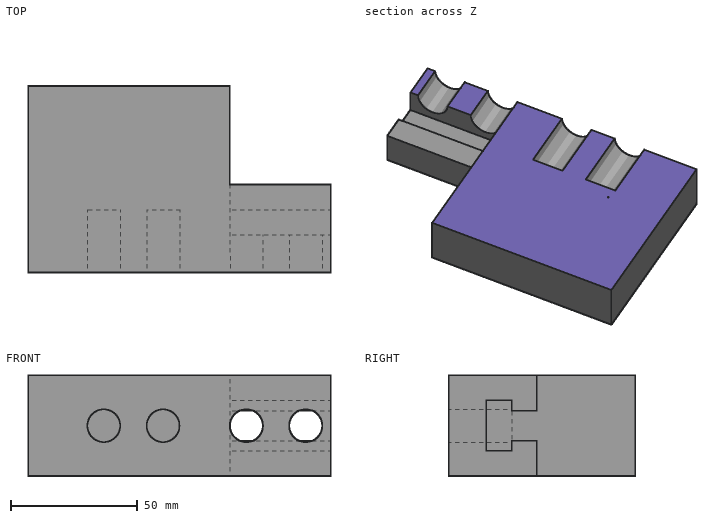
import cadquery as cq

length = 120.0
depth = 74.0
height = 40.0
body_length = 80.0
arm_depth = 35.0
arm_length = length - body_length
mid_height = height / 2

neck_width = 12.0
neck_depth = 10.0
head_width = 20.0
head_depth = 10.0
head_back = arm_depth - neck_depth
head_front = head_back - head_depth

hole_diameter = 13.0
hole_spacing = 23.5
body_pair_start = 30.0
arm_pair_start = body_length + hole_diameter / 2
hole_depth = head_back


def l_block():
    outline = [
        (0, 0),
        (length, 0),
        (length, arm_depth),
        (body_length, arm_depth),
        (body_length, depth),
        (0, depth),
    ]
    return cq.Workplane("XY").polyline(outline).close().extrude(height)


def arm_groove(width, y_front, y_back):
    """Rectangular groove along the whole arm, centred on the mid height."""
    return (
        cq.Workplane("XY")
        .box(arm_length, y_back - y_front, width, centered=(False, False, True))
        .translate((body_length, y_front, mid_height))
    )


def t_slot():
    head = arm_groove(head_width, head_front, head_back)
    neck = arm_groove(neck_width, head_back, arm_depth)
    return head.union(neck)


def hole_pair(first_x):
    """Two neighbouring holes running from the front face along +Y."""
    centers = [(first_x, mid_height), (first_x + hole_spacing, mid_height)]
    return (
        cq.Workplane("XZ")
        .pushPoints(centers)
        .circle(hole_diameter / 2)
        .extrude(-hole_depth)
    )


result = l_block().cut(t_slot())
for pair_start in (body_pair_start, arm_pair_start):
    result = result.cut(hole_pair(pair_start))